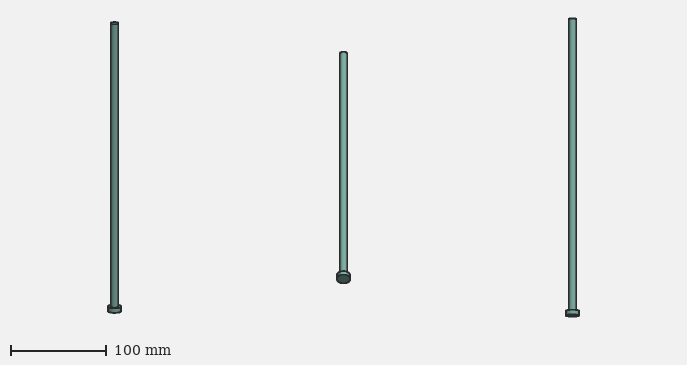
import cadquery as cq

TOTAL_LENGTH = 315.0
HEAD_DIAMETER = 14.0
HEAD_HEIGHT = 5.0
SHANK_DIAMETER = 8.0


def make_head():
    """Flat cylindrical head with its underside at Z = 0."""
    return cq.Workplane("XY").circle(HEAD_DIAMETER / 2).extrude(HEAD_HEIGHT)


def add_shank(head):
    """Plain round shank rising from the top face of the head."""
    shank_length = TOTAL_LENGTH - HEAD_HEIGHT
    return head.faces(">Z").workplane().circle(SHANK_DIAMETER / 2).extrude(shank_length)


result = add_shank(make_head())